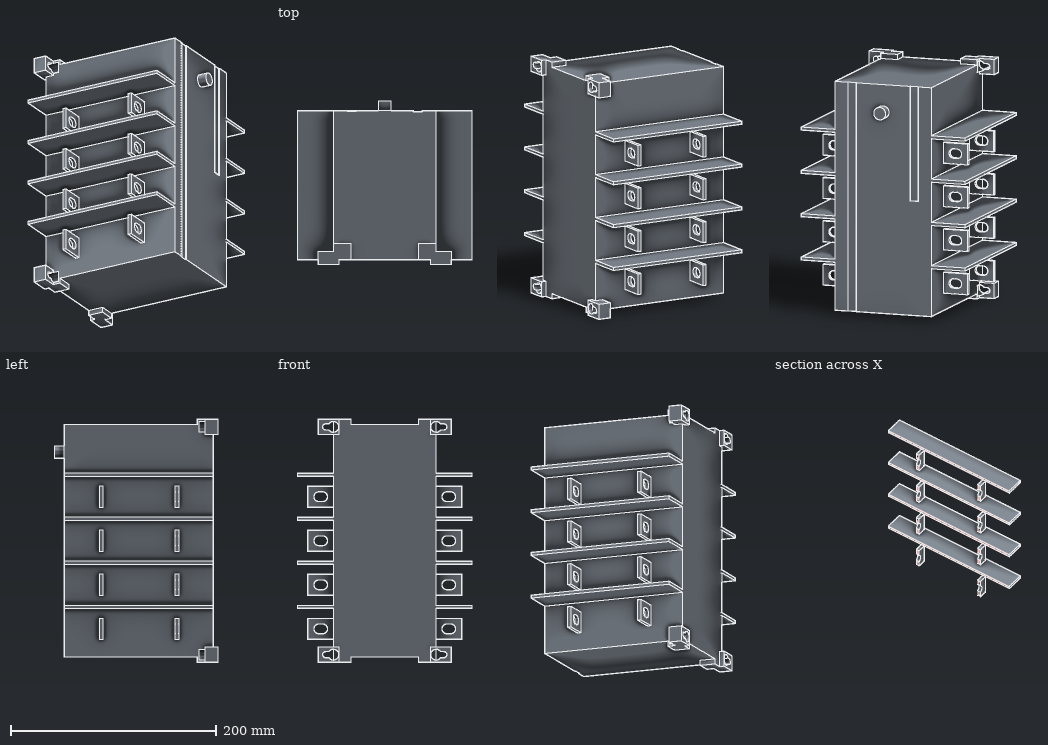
import cadquery as cq

BODY_WIDTH = 100.0
BODY_DEPTH = 145.3
BODY_HEIGHT = 226.8
OVERALL_HEIGHT = 237.0

POLE_COUNT = 4
POLE_PITCH = 43.0
BARRIER_SPAN = 170.0
BARRIER_THICKNESS = 3.0

TERMINAL_SPAN = 150.0
TERMINAL_HEIGHT = 20.6
TERMINAL_THICKNESS = 3.5
TERMINAL_ROWS_Y = (35.3, 109.0)
TERMINAL_SLOT_SPACING = 124.7
TERMINAL_SLOT_LENGTH = 13.0
TERMINAL_SLOT_HEIGHT = 9.2

FOOT_SPAN = 129.9
FOOT_WIDTH = 20.6
FOOT_HEIGHT = 15.2
FOOT_PROJECTION = 4.7
FOOT_BACK_Y = 8.3
TAB_INNER_X = 32.7
TAB_BACK_Y = 15.6

KEYHOLE_HEAD_RADIUS = 5.2
KEYHOLE_NECK_WIDTH = 5.7
KEYHOLE_END_X = 60.5
KEYHOLE_BACK_Y = 14.0

SHAFT_DIAMETER = 12.3
SHAFT_LENGTH = 9.5
SHAFT_Z = 86.3

GROOVE_X = 32.2
GROOVE_WIDTH = 8.5
GROOVE_DEPTH = 1.0

BODY_SIDE_X = BODY_WIDTH / 2
BODY_TOP_Z = BODY_HEIGHT / 2
OVERALL_TOP_Z = OVERALL_HEIGHT / 2
TOP_BARRIER_Z = POLE_PITCH * (POLE_COUNT - 1) / 2


def box_between(x_range, y_range, z_range):
    """Box filling the given (low, high) range on each axis."""
    (x0, x1), (y0, y1), (z0, z1) = x_range, y_range, z_range
    return cq.Workplane("XY").box(x1 - x0, y1 - y0, z1 - z0, centered=False).translate((x0, y0, z0))


def make_body():
    return cq.Workplane("XY").box(BODY_WIDTH, BODY_DEPTH, BODY_HEIGHT).translate((0, BODY_DEPTH / 2, 0))


def make_barrier(z):
    """Full-depth insulating plate that reaches out on both sides of the body."""
    return (
        cq.Workplane("XY")
        .box(BARRIER_SPAN, BODY_DEPTH, BARRIER_THICKNESS)
        .translate((0, BODY_DEPTH / 2, z))
    )


def make_terminal_bar(y, z):
    """Bar whose ends form a left and a right terminal blade, each with an oblong bolt hole."""
    bar = cq.Workplane("XZ").box(TERMINAL_SPAN, TERMINAL_HEIGHT, TERMINAL_THICKNESS)
    slots = (
        cq.Workplane("XZ")
        .pushPoints([(side * TERMINAL_SLOT_SPACING / 2, 0) for side in (-1, 1)])
        .slot2D(TERMINAL_SLOT_LENGTH, TERMINAL_SLOT_HEIGHT)
        .extrude(TERMINAL_THICKNESS, both=True)
    )
    return bar.cut(slots).translate((0, y, z))


def make_foot():
    """Foot of the +X, +Z corner: a block beside the body and a tab on top of it."""
    foot_x = FOOT_SPAN / 2
    z_range = (OVERALL_TOP_Z - FOOT_HEIGHT, OVERALL_TOP_Z)
    block = box_between((foot_x - FOOT_WIDTH, foot_x), (-FOOT_PROJECTION, FOOT_BACK_Y), z_range)
    tab = box_between((TAB_INNER_X, BODY_SIDE_X), (0, TAB_BACK_Y), z_range)
    return block.union(tab)


def make_keyhole():
    """Cutter for the keyhole of the +X, +Z corner: round head and a narrow neck pointing outwards."""
    depth = FOOT_PROJECTION + KEYHOLE_BACK_Y
    hole_z = OVERALL_TOP_Z - FOOT_HEIGHT / 2
    front = cq.Workplane("XZ", origin=(0, -FOOT_PROJECTION, 0))
    neck_end_x = KEYHOLE_END_X - KEYHOLE_NECK_WIDTH / 2
    neck_length = neck_end_x - BODY_SIDE_X
    head = front.center(BODY_SIDE_X, hole_z).circle(KEYHOLE_HEAD_RADIUS).extrude(-depth)
    neck = (
        front.center(BODY_SIDE_X + neck_length / 2, hole_z)
        .slot2D(neck_length + KEYHOLE_NECK_WIDTH, KEYHOLE_NECK_WIDTH)
        .extrude(-depth)
    )
    return head.union(neck)


def at_four_corners(shape):
    """Shape of the +X, +Z corner together with its mirror images at the other corners."""
    pair = shape.union(shape.mirror("YZ"))
    return pair.union(pair.mirror("XY"))


def make_shaft():
    return (
        cq.Workplane("XZ", origin=(0, BODY_DEPTH, SHAFT_Z))
        .circle(SHAFT_DIAMETER / 2)
        .extrude(-SHAFT_LENGTH)
    )


def make_groove(x, bottom_z):
    """Cutter for a rear groove that runs from the top of the body down to bottom_z."""
    return box_between(
        (x - GROOVE_WIDTH / 2, x + GROOVE_WIDTH / 2),
        (BODY_DEPTH - GROOVE_DEPTH, BODY_DEPTH),
        (bottom_z, BODY_TOP_Z),
    )


result = make_body().union(make_shaft())

for pole in range(POLE_COUNT):
    barrier_z = TOP_BARRIER_Z - pole * POLE_PITCH
    result = result.union(make_barrier(barrier_z))
    for row_y in TERMINAL_ROWS_Y:
        result = result.union(make_terminal_bar(row_y, barrier_z - POLE_PITCH / 2))

result = result.cut(make_groove(GROOVE_X, -BODY_TOP_Z))
result = result.cut(make_groove(-GROOVE_X, 0))

result = result.union(at_four_corners(make_foot()))
result = result.cut(at_four_corners(make_keyhole()))